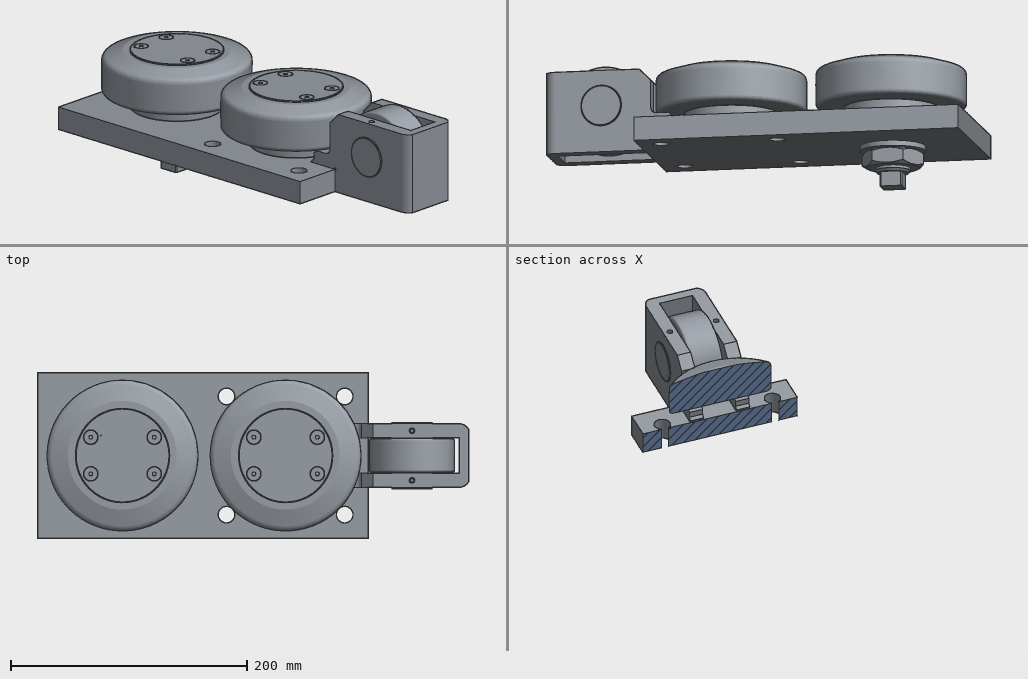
import cadquery as cq
import math


plate_length = 280.0
plate_width = 140.0
plate_thickness = 20.0
mount_hole_diameter = 14.0
mount_hole_pitch = 100.0

roller_pitch = 138.0
fixed_roller_x = 210.0
adjustable_roller_x = fixed_roller_x - roller_pitch
roller_radius = 64.0
roller_bottom = 34.0
roller_shoulder = 65.0
roller_land = 70.5
roller_land_radius = 46.0
roller_top_fillet = 5.0
roller_bottom_fillet = 3.3
roller_crown = 0.1
neck_radius = 80.0 / 2
cap_top = 71.5
ring_chamfer = 0.7

screw_circle_radius = 31.0
screw_angles = (30, 150, 210, 330)
counterbore_diameter = 12.5
screw_head_diameter = 11.5
screw_gap_depth = 1.0
socket_diameter = 3.3
socket_depth = 2.0

stud_offset = 1.5
stud_x = adjustable_roller_x - stud_offset
washer_diameter = 56.0
washer_thickness = 4.5
nut_across_flats = 46.0
nut_height = 14.2
nut_face_diameter = 43.8
nut_bevel_angle = 30
thread_diameter = 30.0
thread_end = -23.0
thread_chamfer = 2.0
square_width = 18.5
square_chamfer = 1.0
stud_end = -35.5

bracket_end = 365
bracket_width = 54.0
bracket_height = 70.0
fork_width = 30.0
fork_end = 356.5
bracket_face = 274.0
top_chamfer = 10.0
tongue_face = 256.0
tongue_top = 31.8
tongue_edge_chamfer = 2.5
tongue_foot = 4.0
undercut_fillet = 5.0
end_radius = 9.5
end_face_width = 43.8
relief_diameter = 2.0
set_screw_diameter = 4.7
set_screw_depth = 7.3
pilot_diameter = 3.0

wheel_x = 317.0
wheel_z = 39.8
wheel_radius = 36.0
wheel_width = 28.5
wheel_fillet = 2.0
wheel_crown = 0.2
pin_diameter = 35.0
pin_projection = 1.0
pin_chamfer = 0.7


def bevelled_ring(bottom, top):
    """Disc of the neck diameter with both rims bevelled, on the Z axis."""
    disc = cq.Workplane("XY", origin=(0, 0, bottom)).circle(neck_radius).extrude(top - bottom)
    return disc.edges().chamfer(ring_chamfer)


def roller(axis_x):
    """Neck, crowned tread and raised cap of one large roller, standing on the plate."""
    edge_radius = roller_radius - roller_crown
    tread_middle = (roller_bottom + roller_shoulder) / 2
    tread = (
        cq.Workplane("XZ")
        .moveTo(0, roller_bottom)
        .lineTo(edge_radius, roller_bottom)
        .threePointArc((roller_radius, tread_middle), (edge_radius, roller_shoulder))
        .lineTo(roller_land_radius, roller_land)
        .lineTo(0, roller_land)
        .close()
        .revolve(360, (0, 0, 0), (0, 1, 0))
    )
    shoulder_box = cq.selectors.BoxSelector(
        (-roller_radius, -roller_radius, roller_shoulder - 0.5),
        (roller_radius, roller_radius, roller_shoulder + 0.5),
        boundingbox=True,
    )
    tread = tread.edges(shoulder_box).fillet(roller_top_fillet)
    tread = tread.faces("<Z").edges().fillet(roller_bottom_fillet)
    neck = bevelled_ring(plate_thickness, roller_bottom)
    cap = bevelled_ring(roller_bottom, cap_top)
    body = tread.union(neck).union(cap)
    screws = cq.Workplane("XY", origin=(0, 0, cap_top)).pushPoints(
        [
            (
                screw_circle_radius * math.cos(math.radians(angle)),
                screw_circle_radius * math.sin(math.radians(angle)),
            )
            for angle in screw_angles
        ]
    )
    gaps = screws.circle(counterbore_diameter / 2).circle(screw_head_diameter / 2).extrude(-screw_gap_depth)
    sockets = screws.circle(socket_diameter / 2).extrude(-socket_depth)
    return body.cut(gaps).cut(sockets).translate((axis_x, 0, 0))


def nut():
    """Hexagon nut with both ends bevelled by a cone, hanging below the washer."""
    across_corners = nut_across_flats / math.cos(math.radians(30))
    bevel_width = (across_corners - nut_face_diameter) / 2
    bevel_height = bevel_width * math.tan(math.radians(nut_bevel_angle))
    hexagon = cq.Workplane("XY").polygon(6, across_corners).extrude(-nut_height)
    bevel = (
        cq.Workplane("XY")
        .circle(across_corners / 2)
        .extrude(-nut_height)
        .edges()
        .chamfer(bevel_height, bevel_width)
    )
    return hexagon.intersect(bevel).translate((stud_x, 0, -washer_thickness))


def stud():
    """Washer, nut, threaded end and square drive below the plate."""
    below = cq.Workplane("XY", origin=(stud_x, 0, 0))
    washer = below.circle(washer_diameter / 2).extrude(-washer_thickness)
    thread = below.circle(thread_diameter / 2).extrude(thread_end).faces("<Z").chamfer(thread_chamfer)
    square = below.rect(square_width, square_width).extrude(stud_end).edges("|Z").chamfer(square_chamfer)
    return washer.union(nut()).union(thread).union(square)


def roller_plate():
    """Plate with its mounting holes, both large rollers and the stud."""
    plate = cq.Workplane("XY").box(plate_length, plate_width, plate_thickness, centered=(False, True, False))
    holes = (
        cq.Workplane("XY", origin=(fixed_roller_x, 0, 0))
        .rect(mount_hole_pitch, mount_hole_pitch, forConstruction=True)
        .vertices()
        .circle(mount_hole_diameter / 2)
        .extrude(plate_thickness)
    )
    plate = plate.cut(holes)
    for axis_x in (adjustable_roller_x, fixed_roller_x):
        plate = plate.union(roller(axis_x))
    return plate.union(stud())


def bracket():
    """Fork whose tongues rest on the plate, with its back against the plate end."""
    fillet_offset = undercut_fillet * (1 - math.cos(math.radians(45)))
    block = (
        cq.Workplane("XZ")
        .moveTo(plate_length, 0)
        .lineTo(bracket_end, 0)
        .lineTo(bracket_end, bracket_height)
        .lineTo(bracket_face + top_chamfer, bracket_height)
        .lineTo(bracket_face, bracket_height - top_chamfer)
        .lineTo(bracket_face, tongue_top + undercut_fillet)
        .threePointArc(
            (bracket_face - fillet_offset, tongue_top + fillet_offset),
            (bracket_face - undercut_fillet, tongue_top),
        )
        .lineTo(tongue_face + tongue_edge_chamfer, tongue_top)
        .lineTo(tongue_face, tongue_top - tongue_edge_chamfer)
        .lineTo(tongue_face, plate_thickness + tongue_foot)
        .lineTo(tongue_face - tongue_foot, plate_thickness)
        .lineTo(plate_length, plate_thickness)
        .close()
        .extrude(bracket_width / 2, both=True)
    )
    half_width = bracket_width / 2
    half_face = end_face_width / 2
    corner_drop = half_width - half_face
    corner_run = math.sqrt(end_radius**2 - (end_radius - corner_drop) ** 2)
    plan = (
        cq.Workplane("XY")
        .moveTo(0, -half_width)
        .lineTo(bracket_end - corner_run, -half_width)
        .tangentArcPoint((bracket_end, -half_face), relative=False)
        .lineTo(bracket_end, half_face)
        .radiusArc((bracket_end - corner_run, half_width), -end_radius)
        .lineTo(0, half_width)
        .close()
        .extrude(bracket_height)
    )
    block = block.intersect(plan)
    fork_slot = cq.Workplane("XY").box(fork_end, fork_width, bracket_height, centered=(False, True, False))
    relief = (
        cq.Workplane("XZ", origin=(plate_length, 0, plate_thickness))
        .circle(relief_diameter / 2)
        .extrude(bracket_width / 2, both=True)
    )
    arm_middle = (bracket_width + fork_width) / 4
    arm_tops = cq.Workplane("XY", origin=(wheel_x, 0, bracket_height)).pushPoints(
        [(0, -arm_middle), (0, arm_middle)]
    )
    set_screw_holes = arm_tops.circle(set_screw_diameter / 2).extrude(-set_screw_depth)
    pilot_holes = arm_tops.circle(pilot_diameter / 2).extrude(wheel_z - bracket_height)
    return block.cut(fork_slot).cut(relief).cut(set_screw_holes).cut(pilot_holes)


def guide_wheel():
    """Crowned wheel centred in the fork on a pin that shows at both sides."""
    edge_radius = wheel_radius - wheel_crown
    wheel = (
        cq.Workplane("XY")
        .moveTo(0, -wheel_width / 2)
        .lineTo(edge_radius, -wheel_width / 2)
        .threePointArc((wheel_radius, 0), (edge_radius, wheel_width / 2))
        .lineTo(0, wheel_width / 2)
        .close()
        .revolve(360, (0, 0, 0), (0, 1, 0))
        .faces("<Y or >Y")
        .edges()
        .fillet(wheel_fillet)
    )
    pin = (
        cq.Workplane("XZ")
        .circle(pin_diameter / 2)
        .extrude(bracket_width / 2 + pin_projection, both=True)
        .faces("<Y or >Y")
        .chamfer(pin_chamfer)
    )
    return wheel.union(pin).translate((wheel_x, 0, wheel_z))


def wheel_bracket():
    """Bracket together with the guide wheel mounted in it."""
    return bracket().union(guide_wheel())


result = cq.Compound.makeCompound([roller_plate().val(), wheel_bracket().val()])